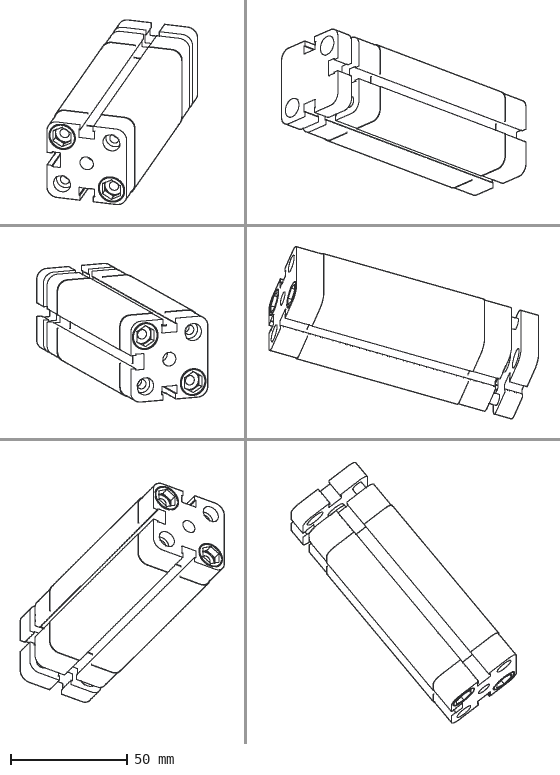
import cadquery as cq
import math

total_length = 110.5
barrel_width = 36.1
cap_width = 35.7
corner_radius = 4.6
cap_length = 12.4
plate_thickness = 8.1
plate_gap = 4.3

slot_mouth_width = 5.9
slot_inner_width = 7.0
slot_lip_plane = 15.5
barrel_slot_floor = 12.2
cap_slot_floor = 11.8
slot_edge_radius = 0.2

rod_diameter = 10.0
rod_tip_diameter = 9.1
rod_chamfer_length = 1.3
rod_flat_width = 8.2
rod_flat_length = 3.3

pin_diameter = 5.0
pin_offset = 12.0
plate_hole_diameter = 8.5

hole_offset = 11.0
through_diameter = 4.1
blind_hole_diameter = 7.5
blind_hole_depth = 4.5
blind_tip_depth = 10.0
port_diameter = 6.0
port_depth = 10.0
hex_width = 8.0
hex_depth = 3.3
hex_relief_depth = 4.0
ring_outer_diameter = 11.7
ring_inner_diameter = 11.0
ring_depth = 0.5

front_y = total_length / 2
rear_y = -total_length / 2
plate_y = front_y - plate_thickness
body_front_y = plate_y - plate_gap
barrel_front_y = body_front_y - cap_length
barrel_rear_y = rear_y + cap_length


def cylinder(x, z, diameter, y_start, y_end):
    """Round bar along Y between two stations."""
    base = cq.Workplane("XZ", origin=(x, y_start, z))
    return base.circle(diameter / 2).extrude(y_start - y_end)


def slot_cutter(half_width, floor, y_start, y_end):
    """T-slot opening towards +Z, with a rounded mouth and rounded floor corners."""
    mouth = slot_mouth_width / 2
    inner = slot_inner_width / 2
    r = slot_edge_radius
    arc_inset = r * (1 - math.sqrt(0.5))
    outline = (
        cq.Workplane("XZ", origin=(0, y_start, 0))
        .moveTo(-inner + r, floor)
        .lineTo(inner - r, floor)
        .threePointArc((inner - arc_inset, floor + arc_inset), (inner, floor + r))
        .lineTo(inner, slot_lip_plane)
        .lineTo(mouth, slot_lip_plane)
        .lineTo(mouth, half_width - r)
        .threePointArc((mouth + arc_inset, half_width - arc_inset), (mouth + r, half_width))
        .lineTo(-mouth - r, half_width)
        .threePointArc((-mouth - arc_inset, half_width - arc_inset), (-mouth, half_width - r))
        .lineTo(-mouth, slot_lip_plane)
        .lineTo(-inner, slot_lip_plane)
        .lineTo(-inner, floor + r)
        .threePointArc((-inner + arc_inset, floor + arc_inset), (-inner + r, floor))
        .close()
    )
    return outline.extrude(y_start - y_end)


def profile_block(width, floor, y_start, y_end):
    """Rounded square length of profile with T-slots on the +Z, -X and -Z sides."""
    block = (
        cq.Workplane("XZ", origin=(0, y_start, 0))
        .rect(width, width)
        .extrude(y_start - y_end)
        .edges("|Y")
        .fillet(corner_radius)
    )
    slot = slot_cutter(width / 2, floor, y_start, y_end)
    for angle in (0, -90, 180):
        block = block.cut(slot.rotate((0, 0, 0), (0, 1, 0), angle))
    return block


def piston_rod():
    """Short rod stub with a tapered tip and two flats facing -X and +X."""
    radius = rod_diameter / 2
    rod = (
        cq.Workplane("XY")
        .moveTo(0, barrel_front_y)
        .lineTo(radius, barrel_front_y)
        .lineTo(radius, plate_y - rod_chamfer_length)
        .lineTo(rod_tip_diameter / 2, plate_y)
        .lineTo(0, plate_y)
        .close()
        .revolve(360, (0, 0, 0), (0, 1, 0))
    )
    flat_x = rod_flat_width / 2
    flat_end_y = plate_y - rod_flat_length
    ramp = radius - flat_x
    flat = (
        cq.Workplane("XY")
        .polyline([
            (flat_x, plate_y),
            (flat_x, flat_end_y),
            (flat_x + ramp, flat_end_y - ramp),
            (flat_x + ramp, plate_y),
        ])
        .close()
        .extrude(radius, both=True)
    )
    return rod.cut(flat).cut(flat.mirror("YZ"))


def hex_insert_cutter(x, z):
    """Shallow ring groove around a hexagon socket with a round bottom and a through hole."""
    ring = cylinder(x, z, ring_outer_diameter, rear_y, rear_y + ring_depth)
    ring = ring.cut(cylinder(x, z, ring_inner_diameter, rear_y, rear_y + ring_depth))
    socket = (
        cq.Workplane("XZ", origin=(x, rear_y, z))
        .polygon(6, hex_width, circumscribed=True)
        .extrude(-hex_depth)
    )
    relief = cylinder(x, z, hex_width, rear_y, rear_y + hex_relief_depth)
    bore = cylinder(x, z, through_diameter, rear_y, body_front_y)
    return ring.union(socket).union(relief).union(bore)


def blind_hole_cutter(x, z):
    """Counterbored blind hole in the rear face."""
    hole = cylinder(x, z, blind_hole_diameter, rear_y, rear_y + blind_hole_depth)
    return hole.union(cylinder(x, z, through_diameter, rear_y, rear_y + blind_tip_depth))


result = profile_block(cap_width, cap_slot_floor, rear_y, barrel_rear_y)
result = result.union(profile_block(barrel_width, barrel_slot_floor, barrel_rear_y, barrel_front_y))
result = result.union(profile_block(cap_width, cap_slot_floor, barrel_front_y, body_front_y))

plate = profile_block(cap_width, cap_slot_floor, plate_y, front_y)
for side in (-1, 1):
    opening = cylinder(side * hole_offset, -side * hole_offset, plate_hole_diameter, plate_y, front_y)
    plate = plate.cut(opening)
result = result.union(plate)

result = result.union(piston_rod())
for side in (-1, 1):
    pin = cylinder(side * pin_offset, side * pin_offset, pin_diameter, body_front_y, plate_y)
    result = result.union(pin)

for side in (-1, 1):
    result = result.cut(hex_insert_cutter(side * hole_offset, -side * hole_offset))
    result = result.cut(blind_hole_cutter(side * hole_offset, side * hole_offset))
result = result.cut(cylinder(0, 0, port_diameter, rear_y, rear_y + port_depth))